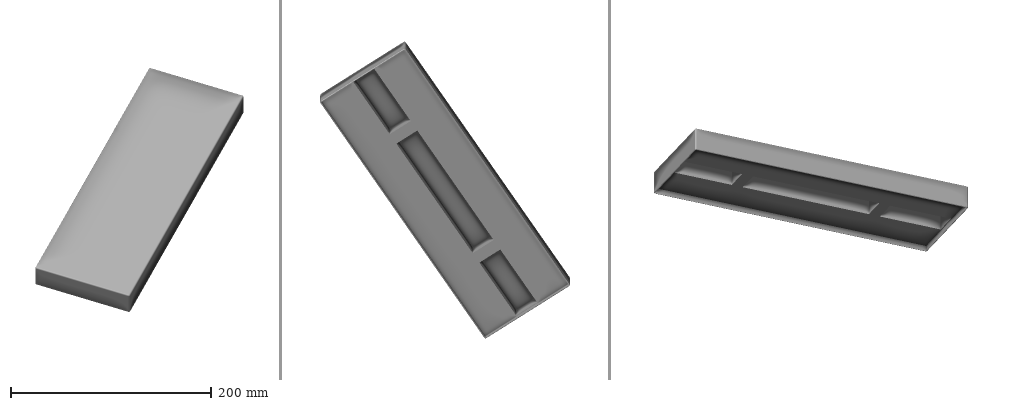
import cadquery as cq

WIDTH = 102.0
LENGTH = 299.0
HEIGHT = 24.3
TOP_EDGE_RADIUS = 1.5
CORNER_CHAMFER = 1.0
BOTTOM_EDGE_CHAMFER = 0.5

RIM_THICKNESS = 1.0
RECESS_DEPTH = 6.0

POCKET_WIDTH = 25.0
SKIN_THICKNESS = 0.8
END_WALL_THICKNESS = 2.0
RIB_THICKNESS = 12.0
RIB_SPACING = 150.0


def outer_block():
    """Solid block with rounded top edges and chamfered upright and bottom edges."""
    block = cq.Workplane("XY").box(WIDTH, LENGTH, HEIGHT, centered=(True, True, False))
    block = block.edges("|Z").chamfer(CORNER_CHAMFER)
    block = block.faces(">Z").edges().fillet(TOP_EDGE_RADIUS)
    return block.faces("<Z").edges().chamfer(BOTTOM_EDGE_CHAMFER)


def underside_recess():
    """Volume of the shallow recess that opens at the bottom face."""
    recess_width = WIDTH - 2 * RIM_THICKNESS
    recess_length = LENGTH - 2 * RIM_THICKNESS
    return cq.Workplane("XY").box(
        recess_width, recess_length, RECESS_DEPTH, centered=(True, True, False)
    )


def pocket(y_start, y_end):
    """Volume of one pocket between two Y positions, from the bottom up to the skin."""
    pocket_height = HEIGHT - SKIN_THICKNESS
    volume = cq.Workplane("XY").box(
        POCKET_WIDTH, y_end - y_start, pocket_height, centered=(True, False, False)
    )
    return volume.translate((0, y_start, 0))


rib_inner_y = (RIB_SPACING - RIB_THICKNESS) / 2
rib_outer_y = (RIB_SPACING + RIB_THICKNESS) / 2
row_end_y = LENGTH / 2 - END_WALL_THICKNESS

pocket_spans = [
    (-row_end_y, -rib_outer_y),
    (-rib_inner_y, rib_inner_y),
    (rib_outer_y, row_end_y),
]

result = outer_block().cut(underside_recess())
for span_start, span_end in pocket_spans:
    result = result.cut(pocket(span_start, span_end))